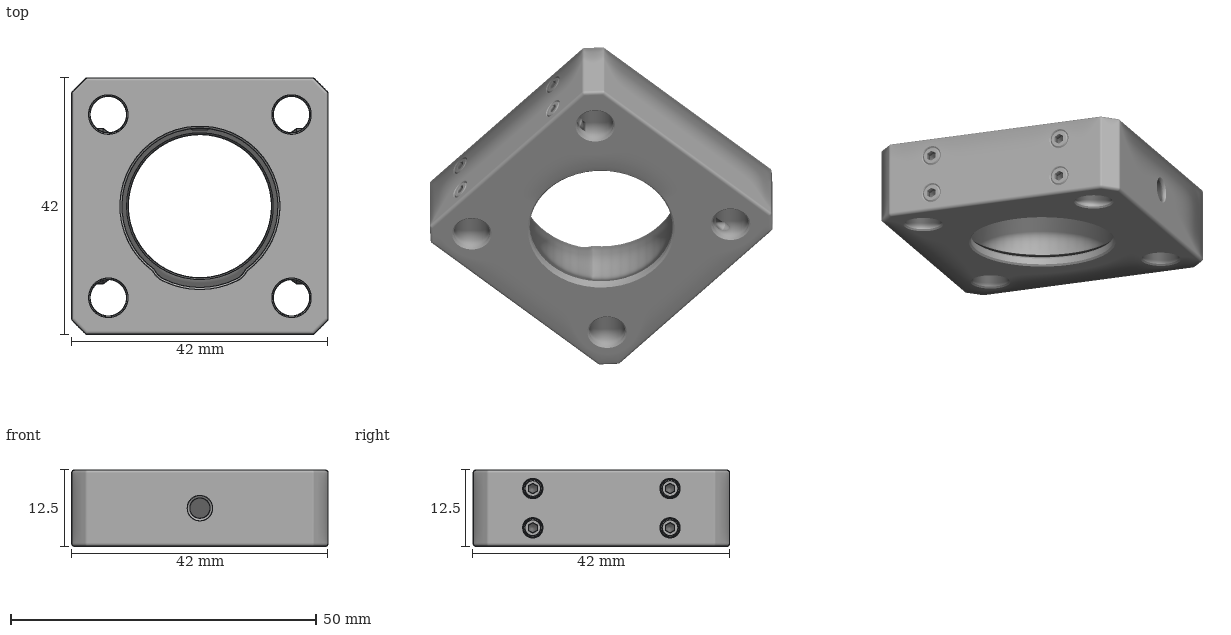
import cadquery as cq
import math

SIDE = 42.0
THICKNESS = 12.5
CORNER_CUT = 2.4
EDGE_ROUND = 0.5

BORE_RADIUS = 12.75
BORE_DEPTH = 10.9
BORE_CHAMFER = 0.35
OPENING_RADIUS = 11.7
OPENING_CHAMFER = 0.3
UNDERCUT_RADIUS = 13.85
UNDERCUT_HEIGHT = 0.7
RELIEF_RADIUS = 13.3
RELIEF_END_RADIUS = 3.35
RELIEF_HALF_ANGLE = math.radians(26.5)

ROD_SPACING = 30.0
ROD_HOLE_DIAMETER = 5.95
ROD_HOLE_CHAMFER = 0.25

CLAMP_SPACING_Y = 22.45
CLAMP_SPACING_Z = 6.43
CLAMP_DIAMETER = 3.0
CLAMP_LENGTH = 6.5
CLAMP_HEAD_CHAMFER = 0.2
CLAMP_TIP_LENGTH = 1.35
CLAMP_TIP_RADIUS = 0.5
CLAMP_COUNTERSINK = 0.15
SOCKET_FLATS = 1.45
SOCKET_DEPTH = 1.2
SOCKET_CONE_SLOPE = math.radians(30)

LENS_SCREW_DIAMETER = 3.3
LENS_SCREW_TIP_Y = 12.47
LENS_SCREW_TIP_CHAMFER = 0.4

MOUNT_HOLE_DIAMETER = 3.3
MOUNT_HOLE_DEPTH = 6.0
MOUNT_HOLE_COUNTERSINK = 0.4

HALF = SIDE / 2
TOP = THICKNESS / 2
LEDGE_Z = TOP - BORE_DEPTH


def axial_plane(origin, direction):
    """Work plane whose normal points along the given horizontal direction, with its Y axis along Z."""
    dx, dy, _ = direction
    return cq.Plane(origin=origin, xDir=(-dy, dx, 0), normal=direction)


def chamfered_hole(plane, diameter, depth, chamfer):
    """Cutter for a round hole going along the plane's normal, with a 45 degree chamfer at its mouth."""
    radius = diameter / 2
    hole = cq.Workplane(plane).circle(radius).extrude(depth)
    mouth = cq.Solid.makeCone(radius + chamfer, radius, chamfer, plane.origin, plane.zDir)
    return hole.union(cq.Workplane(mouth))


def relief_outline():
    """Arc-shaped slot at the top face, centred on the bore axis, with half-round ends."""
    sine = math.sin(RELIEF_HALF_ANGLE)
    cosine = math.cos(RELIEF_HALF_ANGLE)
    inner_radius = RELIEF_RADIUS - 2 * RELIEF_END_RADIUS
    middle_radius = RELIEF_RADIUS - RELIEF_END_RADIUS
    outer = (RELIEF_RADIUS * sine, -RELIEF_RADIUS * cosine)
    inner = (inner_radius * sine, -inner_radius * cosine)
    end = (
        middle_radius * sine + RELIEF_END_RADIUS * cosine,
        -middle_radius * cosine + RELIEF_END_RADIUS * sine,
    )
    return (
        cq.Workplane("XY")
        .workplane(offset=TOP)
        .moveTo(-outer[0], outer[1])
        .threePointArc((0, -RELIEF_RADIUS), outer)
        .threePointArc(end, inner)
        .threePointArc((0, -inner_radius), (-inner[0], inner[1]))
        .threePointArc((-end[0], end[1]), (-outer[0], outer[1]))
        .close()
    )


def plate_block():
    block = cq.Workplane("XY").box(SIDE, SIDE, THICKNESS)
    block = block.edges("|Z").chamfer(CORNER_CUT)
    block = block.edges("|Z").fillet(EDGE_ROUND)
    return block.faces("<Z or >Z").edges().fillet(EDGE_ROUND)


def cut_bore(plate):
    bore = cq.Workplane("XY").workplane(offset=TOP).circle(BORE_RADIUS).extrude(-BORE_DEPTH)
    plate = plate.cut(bore.union(relief_outline().extrude(-BORE_DEPTH)))
    rim = plate.faces(">Z").val().innerWires()[0].Edges()
    plate = plate.newObject(rim).chamfer(BORE_CHAMFER)

    undercut = cq.Workplane("XY").workplane(offset=LEDGE_Z).circle(UNDERCUT_RADIUS).extrude(UNDERCUT_HEIGHT)
    plate = plate.cut(undercut)

    ledge = cq.Plane(origin=(0, 0, LEDGE_Z), normal=(0, 0, -1))
    bottom = cq.Plane(origin=(0, 0, -TOP), normal=(0, 0, 1))
    for plane in (ledge, bottom):
        plate = plate.cut(chamfered_hole(plane, 2 * OPENING_RADIUS, LEDGE_Z + TOP, OPENING_CHAMFER))
    return plate


def cut_rod_holes(plate):
    """Holes chamfered at both ends: each end's cutter reaches the middle of the thickness."""
    centers = cq.Workplane("XY").rect(ROD_SPACING, ROD_SPACING, forConstruction=True).vertices().vals()
    for center in centers:
        for side in (-1, 1):
            mouth = cq.Plane(origin=(center.X, center.Y, side * TOP), normal=(0, 0, -side))
            plate = plate.cut(chamfered_hole(mouth, ROD_HOLE_DIAMETER, TOP, ROD_HOLE_CHAMFER))
    return plate


def clamp_planes():
    """Planes on the -X and +X faces, one per clamp screw, each facing into the plate."""
    y = CLAMP_SPACING_Y / 2
    z = CLAMP_SPACING_Z / 2
    return [
        axial_plane((side * HALF, screw_y, screw_z), (-side, 0, 0))
        for side in (-1, 1)
        for screw_y in (-y, y)
        for screw_z in (-z, z)
    ]


def lens_screw_cylinder():
    """Plain cylinder from the +Y face to the screw's tip: the screw's blank and its hole."""
    plane = axial_plane((0, HALF, (TOP + LEDGE_Z) / 2), (0, -1, 0))
    return cq.Workplane(plane).circle(LENS_SCREW_DIAMETER / 2).extrude(HALF - LENS_SCREW_TIP_Y)


def cut_side_holes(plate):
    for plane in clamp_planes():
        plate = plate.cut(chamfered_hole(plane, CLAMP_DIAMETER, CLAMP_LENGTH, CLAMP_COUNTERSINK))

    mount_plane = axial_plane((0, -HALF, 0), (0, 1, 0))
    plate = plate.cut(
        chamfered_hole(mount_plane, MOUNT_HOLE_DIAMETER, MOUNT_HOLE_DEPTH, MOUNT_HOLE_COUNTERSINK)
    )
    return plate.cut(lens_screw_cylinder())


def make_plate():
    plate = plate_block()
    plate = cut_bore(plate)
    plate = cut_rod_holes(plate)
    return cut_side_holes(plate)


def make_clamp_screw(plane):
    """Headless screw with a hexagon socket that ends in a drill cone, and a truncated cone tip."""
    shank_length = CLAMP_LENGTH - CLAMP_TIP_LENGTH
    shank = cq.Workplane(plane).circle(CLAMP_DIAMETER / 2).extrude(shank_length)
    shank = shank.faces(cq.selectors.DirectionMinMaxSelector(plane.zDir, False)).chamfer(CLAMP_HEAD_CHAMFER)
    tip_start = plane.origin + plane.zDir * shank_length
    tip = cq.Solid.makeCone(CLAMP_DIAMETER / 2, CLAMP_TIP_RADIUS, CLAMP_TIP_LENGTH, tip_start, plane.zDir)
    screw = shank.union(cq.Workplane(tip))

    socket_corners = SOCKET_FLATS / math.cos(math.pi / 6)
    cone_radius = socket_corners / 2
    cone_height = cone_radius * math.tan(SOCKET_CONE_SLOPE)
    socket = (
        cq.Workplane(plane)
        .transformed(rotate=(0, 0, 90))
        .polygon(6, socket_corners)
        .extrude(SOCKET_DEPTH + cone_height)
    )
    drill = cq.Workplane(plane).circle(cone_radius).extrude(SOCKET_DEPTH)
    cone_start = plane.origin + plane.zDir * SOCKET_DEPTH
    cone = cq.Solid.makeCone(cone_radius, 0, cone_height, cone_start, plane.zDir)
    return screw.cut(socket.intersect(drill.union(cq.Workplane(cone))))


def make_lens_screw():
    """Headless screw from the +Y face to just inside the bore, with a chamfered tip."""
    return lens_screw_cylinder().faces("<Y").chamfer(LENS_SCREW_TIP_CHAMFER)


plate = make_plate()
clamp_screws = [make_clamp_screw(plane) for plane in clamp_planes()]
lens_screw = make_lens_screw()

result = cq.Compound.makeCompound(
    [body.solids().val() for body in (plate, *clamp_screws, lens_screw)]
)